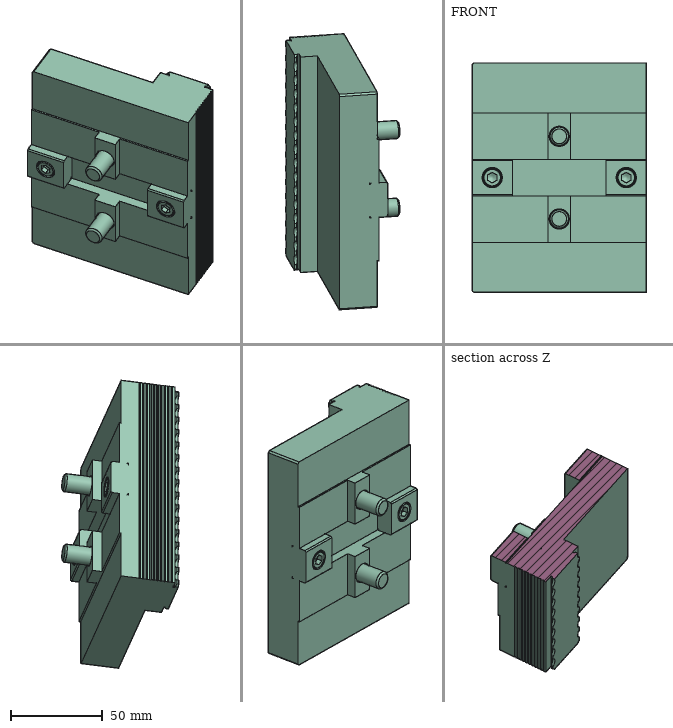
import cadquery as cq
import math

width = 95.0
height = 125.0
center_x = width / 2

pad_step = 1.0
pad_height = 70.5
plate_back = 22.0
corner_chamfer = 1.0

jaw_width = 32.0
jaw_left = width - jaw_width
jaw_back = 31.2

rail_back = 34.0
rail_width = 26.0
rail_center_x = jaw_left + jaw_width / 2
rim_height = 1.0
neck_inset = 2.2
neck_drop = 2.0

scallop_diameter = 6.2
scallop_pitch = 8.0
scallop_offset = 1.4
scallops_each_way = 8

grip_pitch = 2.0
grip_depth = 0.5
grip_mouth_width = 1.0
grip_count = 10
grip_edge_gap = 1.9

slot_height = 20.0
slot_depth = 5.2
key_length = 22.0
key_thickness = 10.0
key_front = slot_depth - key_thickness
key_chamfer = 0.8

screw_from_end = key_length / 2
screw_recess_diameter = 11.0
screw_recess_depth = 6.0
head_diameter = 10.0
head_chamfer = 0.5
socket_flats = 5.0
socket_depth = 3.0
socket_tip_depth = 1.5

block_width = 12.5
block_front = -5.2
bolt_diameter = 10.0
bolt_hole_diameter = 11.0
bolt_hole_depth = 5.2
bolt_tip = -20.0
bolt_chamfer = 1.0
bolt_z = 22.5


def box(x_range, y_range, z_range):
    """Box between the given limits along each axis."""
    (x0, x1), (y0, y1), (z0, z1) = x_range, y_range, z_range
    return cq.Workplane("XY").box(x1 - x0, y1 - y0, z1 - z0, centered=False).translate((x0, y0, z0))


def cylinder_y(x, z, y_range, diameter):
    """Cylinder along Y between the given limits."""
    y0, y1 = y_range
    return cq.Workplane(cq.Solid.makeCylinder(diameter / 2, y1 - y0, cq.Vector(x, y0, z), cq.Vector(0, 1, 0)))


def extrude_full_height(points):
    """Closed XY outline extruded over the whole height of the part."""
    return cq.Workplane("XY").workplane(offset=-height / 2).polyline(points).close().extrude(height)


def make_body():
    plate = box((0, width), (pad_step, plate_back), (-height / 2, height / 2))
    plate = plate.edges("|Y and <X").chamfer(corner_chamfer)
    pad = box((0, width), (0, pad_step), (-pad_height / 2, pad_height / 2))
    jaw = box((jaw_left, width), (pad_step, jaw_back), (-height / 2, height / 2))
    return plate.union(jaw).union(pad)


def make_rail():
    half = rail_width / 2
    right_side = [
        (half - neck_inset, jaw_back),
        (half - neck_inset, rail_back - neck_drop),
        (half, rail_back - rim_height),
        (half, rail_back),
    ]
    left_side = [(-x, y) for x, y in reversed(right_side)]
    rail = extrude_full_height(right_side + left_side)
    axis_x = half + scallop_offset
    y_range = (jaw_back, rail_back)
    for side in (-1, 1):
        for index in range(-scallops_each_way, scallops_each_way + 1):
            rail = rail.cut(cylinder_y(side * axis_x, index * scallop_pitch, y_range, scallop_diameter))
    return rail.translate((rail_center_x, 0, 0))


def cut_grip_grooves(body):
    for index in range(grip_count):
        y = jaw_back - grip_edge_gap - index * grip_pitch
        outline = [
            (width, y - grip_mouth_width / 2),
            (width, y + grip_mouth_width / 2),
            (width - grip_depth, y),
        ]
        body = body.cut(extrude_full_height(outline))
    return body


def make_socket(x):
    """Hexagonal socket with a pointed floor, opening at the key face; two corners point along Z."""
    corner_radius = socket_flats / 2 / math.cos(math.radians(30))
    total_depth = socket_depth + socket_tip_depth
    hexagon = (
        cq.Workplane("XZ").polygon(6, 2 * corner_radius).extrude(-total_depth)
        .rotate((0, 0, 0), (0, 1, 0), 90)
    )
    envelope = (
        cq.Workplane("XY")
        .polyline([(0, 0), (corner_radius, 0), (corner_radius, socket_depth), (0, total_depth)])
        .close().revolve(360, (0, 0), (0, 1))
    )
    return hexagon.intersect(envelope).translate((x, key_front, 0))


def make_key(x_start, screw_x):
    key = box((x_start, x_start + key_length), (key_front, slot_depth), (-slot_height / 2, slot_height / 2))
    key = key.edges("|X").chamfer(key_chamfer)
    recess_range = (key_front, key_front + screw_recess_depth)
    head = cylinder_y(screw_x, 0, recess_range, head_diameter).faces("<Y").chamfer(head_chamfer)
    key = key.cut(cylinder_y(screw_x, 0, recess_range, screw_recess_diameter))
    return key.union(head).cut(make_socket(screw_x))


def add_block_and_bolt(body, side):
    """Block and bolt above (side = 1) or below (side = -1) the slot."""
    z = side * bolt_z
    block = box(
        (center_x - block_width / 2, center_x + block_width / 2),
        (block_front, 0),
        sorted((side * slot_height / 2, side * pad_height / 2)),
    )
    hole_floor = block_front + bolt_hole_depth
    hole = cylinder_y(center_x, z, (block_front, hole_floor), bolt_hole_diameter)
    bolt = cylinder_y(center_x, z, (bolt_tip, hole_floor), bolt_diameter).faces("<Y").chamfer(bolt_chamfer)
    return body.union(block).cut(hole).union(bolt)


result = cut_grip_grooves(make_body()).union(make_rail())
result = result.cut(box((0, width), (0, slot_depth), (-slot_height / 2, slot_height / 2)))
result = result.union(make_key(0, screw_from_end))
result = result.union(make_key(width - key_length, width - screw_from_end))
for direction in (-1, 1):
    result = add_block_and_bolt(result, direction)